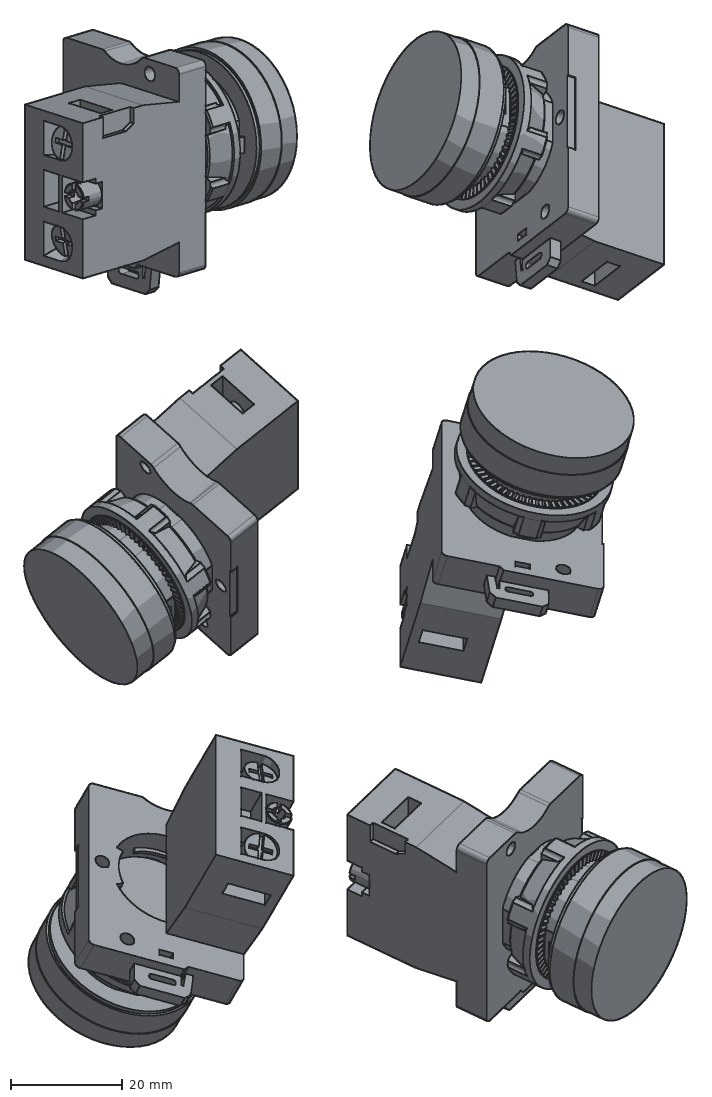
import cadquery as cq
import math


LENGTH = 53.5
WIDTH = 30.0
HALF_WIDTH = WIDTH / 2

HEAD_START_Y = 13.1
HEAD_RING_RADIUS = 14.55
HEAD_BODY_Y = 13.85
HEAD_CAP_Y = 19.0
HEAD_CAP_RADIUS = 14.85
HEAD_FRONT_Y = 22.9

NECK_RADIUS = 10.85
NECK_HALF_WIDTH = 10.05
NECK_HALF_HEIGHT = 10.65

CLIP_HEIGHT = 3.0
CLIP_ROOT_X = NECK_HALF_WIDTH - 0.55
CLIP_OUTLINE = [
    (CLIP_ROOT_X, 10.25), (10.3, 10.25), (10.75, 10.85), (12.0, 12.5),
    (11.8, 12.75), (11.1, 12.75), (10.45, 11.45), (CLIP_ROOT_X, 11.15),
]

NUT_START_Y = 3.15
NUT_FLANGE_Y = 7.6
NUT_FLANGE_TOP_Y = 9.1
NUT_RADIUS = 14.5
NUT_CONE_SMALL_RADIUS = 12.4
NUT_CONE_LARGE_RADIUS = 14.0
NUT_EDGE_CHAMFER = 0.3
RIB_COUNT = 6
RIB_HALF_WIDTH = 1.65
RIB_FILLET = 0.85
WASHER_RADIUS = 12.6
WASHER_TOP_Y = 9.6
TOOTH_COUNT = 60
TOOTH_HEIGHT = 0.3
TOOTH_WIDTH = 1.05
TOOTH_START_RADIUS = 10.7

PLATE_THICKNESS = 6.65
PLATE_LEFT_TOP_Z = 18.5
PLATE_RIGHT_TOP_Z = 19.5
PLATE_LEFT_BOTTOM_Z = -20.9
PLATE_RIGHT_BOTTOM_Z = -20.0
PLATE_STEP_LEFT_X = 3.55
PLATE_STEP_RIGHT_X = 4.3
PLATE_CORNER_RADIUS = 1.0
NOTCH_RADIUS = 7.5
NOTCH_BOTTOM_Z = 16.95
NOTCH_FILLET = 1.05
SCREW_HOLE_RADIUS = 1.35
SCREW_HOLES = [(7.45, 16.75), (-7.55, -17.3), (-12.35, 0)]
WINDOW_WIDTH = 2.75
WINDOW_HEIGHT = 1.3
WINDOW_Z = -18.35
SIDE_RECESS_HEIGHT = 15.05
SIDE_RECESS_LENGTH = 1.65
SIDE_RECESS_DEPTH = 0.25

BORE_RADIUS = 10.55
KEY_RADIUS = 9.2
KEY_HALF_ANGLE = 25.0
LIP_RADIUS = 9.7
LIP_HALF_WIDTH = 4.55
LIP_DEPTH = 4.0
LIP_THICKNESS = 0.6

TAB_FRONT_Y = -2.5
TAB_THICKNESS = 2.25
TAB_BOTTOM_Z = -26.0
TAB_LEFT_X = -5.45
TAB_RIGHT_X = 5.45
TAB_TOP_RIGHT_X = 6.0
TAB_CHAMFER = 1.1
FINGER_TOP_X = 4.5
FINGER_ROOT_X = 4.05
GAP_LEFT_X = 3.65
GAP_BOTTOM_Z = -23.05
TAB_SLOT_LENGTH = 5.2
TAB_SLOT_HEIGHT = 1.3
TAB_SLOT_Z = -22.95

BLOCK_REAR_Y = HEAD_FRONT_Y - LENGTH
BLOCK_TAPER_Y = -15.55
BLOCK_HALF_HEIGHT = 14.65
BLOCK_NECK_HALF_HEIGHT = 13.25
OPENING_LEFT_X = 4.85

TERMINAL_X = 9.1
TERMINAL_Z = 9.5
TERMINAL_TILT = 12.0
TERMINAL_RADIUS = 3.15
TERMINAL_DEPTH = 4.55
TERMINAL_HEAD_DEPTH = 1.05
TERMINAL_HEAD_LENGTH = 4.3
TERMINAL_SCREW_LENGTH = 10.7
SLOT_WIDTH = 0.85
SLOT_DEPTH = 0.85
CROSS_ARM_LENGTH = 4.5
SHANK_RADIUS = 1.75
WIRE_OPENING_RIGHT_X = 13.1
WIRE_OPENING_Y = -24.35
WIRE_OPENING_LENGTH = 2.85
WIRE_OPENING_INNER_Z = 5.35

MIDDLE_HALF_HEIGHT = 3.5
MIDDLE_WIDTH = 3.95
MIDDLE_DEPTH = 5.35
CORNER_LEFT_X = 9.7
CORNER_DEPTH = 3.2
CASTLE_X = 12.35
CASTLE_RADIUS = 2.5
CASTLE_BORE_RADIUS = 1.3
CASTLE_SLOT_WIDTH = 0.8
CASTLE_SLOT_DEPTH = 1.35
CASTLE_BORE_DEPTH = 2.7
CASTLE_CHAMFER = 0.15
CASTLE_TOP_DEPTH = 0.25
CASTLE_SEAT_DEPTH = 4.8

EDGE_NOTCH_DEPTH = 0.9
EDGE_NOTCH_REAR_Y = -25.55
EDGE_NOTCH_RAMP_Y = -19.9
EDGE_NOTCH_FRONT_Y = -17.9
EDGE_NOTCH_FLOOR_Z = 10.7
EDGE_NOTCH_RAMP_RISE = 1.05


def rear_plane(y):
    """Sketch plane at the given Y: local x is X, local y is Z, extrusion runs to -Y."""
    return cq.Workplane("XZ", origin=(0, y, 0))


def disc(radius, y_low, y_high):
    """Cylinder about the button axis."""
    return rear_plane(y_high).circle(radius).extrude(y_high - y_low)


def box(x_range, y_range, z_range):
    """Box between two limits on each axis."""
    sizes = [high - low for low, high in (x_range, y_range, z_range)]
    corner = (x_range[0], y_range[0], z_range[0])
    return cq.Workplane().box(*sizes, centered=False).translate(corner)


def make_head():
    ring = disc(HEAD_RING_RADIUS, HEAD_START_Y, HEAD_BODY_Y)
    body = disc(HALF_WIDTH, HEAD_BODY_Y, HEAD_CAP_Y)
    cap = disc(HEAD_CAP_RADIUS, HEAD_CAP_Y, HEAD_FRONT_Y)
    return ring.union(body).union(cap)


def make_neck():
    flats = box(
        (-NECK_HALF_WIDTH, NECK_HALF_WIDTH),
        (0, HEAD_START_Y),
        (-NECK_HALF_HEIGHT, NECK_HALF_HEIGHT),
    )
    return disc(NECK_RADIUS, 0, HEAD_START_Y).intersect(flats)


def make_clips():
    """Bent spring fingers leaning outwards towards the head."""
    right = cq.Workplane("XY").polyline(CLIP_OUTLINE).close().extrude(CLIP_HEIGHT / 2, both=True)
    return right.union(right.mirror("YZ"))


def make_nut():
    cone = cq.Workplane(cq.Solid.makeCone(
        NUT_CONE_SMALL_RADIUS,
        NUT_CONE_LARGE_RADIUS,
        NUT_FLANGE_Y - NUT_START_Y,
        pnt=cq.Vector(0, NUT_START_Y, 0),
        dir=cq.Vector(0, 1, 0),
    )).faces("<Y").chamfer(NUT_EDGE_CHAMFER, NUT_EDGE_CHAMFER / 2)

    foot = RIB_HALF_WIDTH + RIB_FILLET
    crest_z = math.sqrt(NUT_RADIUS**2 - RIB_HALF_WIDTH**2)
    foot_z = crest_z - RIB_FILLET
    arc_offset = RIB_FILLET * (1 - math.sqrt(0.5))
    rib = (
        rear_plane(NUT_FLANGE_Y)
        .moveTo(-foot, 0)
        .lineTo(-foot, foot_z)
        .threePointArc((-RIB_HALF_WIDTH - arc_offset, foot_z + arc_offset), (-RIB_HALF_WIDTH, crest_z))
        .lineTo(-RIB_HALF_WIDTH, NUT_RADIUS + 0.55)
        .lineTo(RIB_HALF_WIDTH, NUT_RADIUS + 0.55)
        .lineTo(RIB_HALF_WIDTH, crest_z)
        .threePointArc((RIB_HALF_WIDTH + arc_offset, foot_z + arc_offset), (foot, foot_z))
        .lineTo(foot, 0)
        .close()
        .extrude(NUT_FLANGE_Y - NUT_START_Y)
    )
    envelope = disc(NUT_RADIUS, NUT_START_Y, NUT_FLANGE_Y).faces("<Y").chamfer(NUT_EDGE_CHAMFER)
    rib = rib.intersect(envelope)

    nut = cone.union(disc(NUT_RADIUS, NUT_FLANGE_Y, NUT_FLANGE_TOP_Y))
    for index in range(RIB_COUNT):
        nut = nut.union(rib.rotate((0, 0, 0), (0, 1, 0), index * 360 / RIB_COUNT))
    return nut


def make_serrated_washer():
    """Washer with radial V-shaped teeth on the side facing the head."""
    base_y = WASHER_TOP_Y - TOOTH_HEIGHT
    washer = disc(WASHER_RADIUS, NUT_FLANGE_TOP_Y, base_y)
    tooth = (
        cq.Workplane("XY", origin=(0, 0, TOOTH_START_RADIUS))
        .polyline([(-TOOTH_WIDTH / 2, base_y), (0, WASHER_TOP_Y), (TOOTH_WIDTH / 2, base_y)])
        .close()
        .extrude(WASHER_RADIUS - TOOTH_START_RADIUS)
        .val()
    )
    axis_end = cq.Vector(0, 1, 0)
    step = 360 / TOOTH_COUNT
    teeth = [tooth.rotate(cq.Vector(), axis_end, index * step) for index in range(TOOTH_COUNT)]
    return washer.union(cq.Workplane(cq.Compound.makeCompound(teeth)))


def make_plate():
    notch_center_z = NOTCH_BOTTOM_Z + NOTCH_RADIUS
    left_notch_x = -math.sqrt(NOTCH_RADIUS**2 - (notch_center_z - PLATE_LEFT_TOP_Z) ** 2)
    right_notch_x = math.sqrt(NOTCH_RADIUS**2 - (notch_center_z - PLATE_RIGHT_TOP_Z) ** 2)
    plate = (
        rear_plane(0)
        .moveTo(-HALF_WIDTH, PLATE_LEFT_BOTTOM_Z)
        .lineTo(-HALF_WIDTH, PLATE_LEFT_TOP_Z)
        .lineTo(left_notch_x, PLATE_LEFT_TOP_Z)
        .threePointArc((0, NOTCH_BOTTOM_Z), (right_notch_x, PLATE_RIGHT_TOP_Z))
        .lineTo(HALF_WIDTH, PLATE_RIGHT_TOP_Z)
        .lineTo(HALF_WIDTH, PLATE_RIGHT_BOTTOM_Z)
        .lineTo(PLATE_STEP_RIGHT_X, PLATE_RIGHT_BOTTOM_Z)
        .lineTo(PLATE_STEP_LEFT_X, PLATE_LEFT_BOTTOM_Z)
        .close()
        .extrude(PLATE_THICKNESS)
    )
    outer_corners = plate.edges("|Y").edges("<X or >X")
    plate = outer_corners.fillet(PLATE_CORNER_RADIUS)
    for x, z in ((left_notch_x, PLATE_LEFT_TOP_Z), (right_notch_x, PLATE_RIGHT_TOP_Z)):
        notch_corner = cq.selectors.NearestToPointSelector((x, -PLATE_THICKNESS / 2, z))
        plate = plate.edges("|Y").edges(notch_corner).fillet(NOTCH_FILLET)

    holes = rear_plane(0).pushPoints(SCREW_HOLES).circle(SCREW_HOLE_RADIUS).extrude(PLATE_THICKNESS)
    window = rear_plane(0).center(0, WINDOW_Z).rect(WINDOW_WIDTH, WINDOW_HEIGHT).extrude(PLATE_THICKNESS)
    side_recess = box(
        (-HALF_WIDTH, -HALF_WIDTH + SIDE_RECESS_DEPTH),
        (-SIDE_RECESS_LENGTH, 0),
        (-SIDE_RECESS_HEIGHT / 2, SIDE_RECESS_HEIGHT / 2),
    )
    return plate.cut(holes).cut(window).cut(side_recess).cut(make_bore())


def make_bore():
    """Bore through the plate, closed by the neck: a key on each side, a lip at top and bottom."""
    bore = disc(BORE_RADIUS, -PLATE_THICKNESS, 0)

    reach_x = BORE_RADIUS + 0.55
    reach_z = reach_x * math.tan(math.radians(KEY_HALF_ANGLE))
    sectors = (
        rear_plane(0)
        .polyline([(0, 0), (reach_x, reach_z), (reach_x, -reach_z)])
        .close()
        .polyline([(0, 0), (-reach_x, reach_z), (-reach_x, -reach_z)])
        .close()
        .extrude(PLATE_THICKNESS)
    )
    keys = sectors.cut(disc(KEY_RADIUS, -PLATE_THICKNESS, 0))

    lip_rear_y = LIP_DEPTH - PLATE_THICKNESS
    lip_front_y = lip_rear_y + LIP_THICKNESS
    lips = box(
        (-LIP_HALF_WIDTH, LIP_HALF_WIDTH),
        (lip_rear_y, lip_front_y),
        (-BORE_RADIUS, BORE_RADIUS),
    ).cut(disc(LIP_RADIUS, lip_rear_y, lip_front_y))
    return bore.cut(keys).cut(lips)


def make_tab():
    """Slotted tab with a spring finger, split off by a narrow gap, along its right-hand edge."""
    outline = [
        (TAB_LEFT_X, PLATE_LEFT_BOTTOM_Z),
        (TAB_LEFT_X, TAB_BOTTOM_Z + TAB_CHAMFER),
        (TAB_LEFT_X + TAB_CHAMFER, TAB_BOTTOM_Z),
        (TAB_RIGHT_X - TAB_CHAMFER, TAB_BOTTOM_Z),
        (TAB_RIGHT_X, TAB_BOTTOM_Z + TAB_CHAMFER),
        (TAB_TOP_RIGHT_X, PLATE_RIGHT_BOTTOM_Z),
        (FINGER_TOP_X, PLATE_RIGHT_BOTTOM_Z),
        (FINGER_ROOT_X, GAP_BOTTOM_Z),
        (GAP_LEFT_X, GAP_BOTTOM_Z),
        (GAP_LEFT_X, PLATE_LEFT_BOTTOM_Z),
    ]
    tab = rear_plane(TAB_FRONT_Y).polyline(outline).close().extrude(TAB_THICKNESS)
    slot = (
        rear_plane(TAB_FRONT_Y)
        .center(0, TAB_SLOT_Z)
        .slot2D(TAB_SLOT_LENGTH, TAB_SLOT_HEIGHT)
        .extrude(TAB_THICKNESS)
    )
    return tab.cut(slot)


def make_block_body():
    outline = [
        (-PLATE_THICKNESS, BLOCK_NECK_HALF_HEIGHT),
        (BLOCK_TAPER_Y, BLOCK_HALF_HEIGHT),
        (BLOCK_REAR_Y, BLOCK_HALF_HEIGHT),
        (BLOCK_REAR_Y, -BLOCK_HALF_HEIGHT),
        (BLOCK_TAPER_Y, -BLOCK_HALF_HEIGHT),
        (-PLATE_THICKNESS, -BLOCK_NECK_HALF_HEIGHT),
    ]
    return cq.Workplane("YZ").polyline(outline).close().extrude(HALF_WIDTH)


def terminal_frame(depth, side):
    """Sketch plane at a depth along a terminal screw's axis; side is +1 above, -1 below."""
    tilt = math.radians(TERMINAL_TILT)
    inward = cq.Vector(0, math.cos(tilt), -side * math.sin(tilt))
    origin = cq.Vector(TERMINAL_X, BLOCK_REAR_Y, side * TERMINAL_Z) + inward * depth
    return cq.Workplane(cq.Plane(origin=origin, xDir=(1, 0, 0), normal=inward))


def make_terminal_pocket(side):
    """Tilted D-shaped pocket with a floor parallel to the rear face of the block."""
    overrun = 1.05
    length = TERMINAL_DEPTH + 2 * overrun
    start = terminal_frame(-overrun, side)
    left_width = TERMINAL_X - OPENING_LEFT_X
    square = start.center(-left_width / 2, 0).rect(left_width, 2 * TERMINAL_RADIUS).extrude(length)
    round_end = terminal_frame(-overrun, side).circle(TERMINAL_RADIUS).extrude(length)
    depth_limits = box(
        (0, HALF_WIDTH),
        (BLOCK_REAR_Y, BLOCK_REAR_Y + TERMINAL_DEPTH),
        (-BLOCK_HALF_HEIGHT, BLOCK_HALF_HEIGHT),
    )
    return square.union(round_end).intersect(depth_limits)


def make_wire_opening(side):
    z_range = sorted((side * WIRE_OPENING_INNER_Z, side * BLOCK_HALF_HEIGHT))
    y_range = (WIRE_OPENING_Y, WIRE_OPENING_Y + WIRE_OPENING_LENGTH)
    return box((OPENING_LEFT_X, WIRE_OPENING_RIGHT_X), y_range, z_range)


def make_terminal_screw(side):
    """Cross-slotted head with a shank that passes across the wire opening."""
    head = terminal_frame(TERMINAL_HEAD_DEPTH, side).circle(TERMINAL_RADIUS).extrude(TERMINAL_HEAD_LENGTH)
    shank = terminal_frame(TERMINAL_HEAD_DEPTH, side).circle(SHANK_RADIUS).extrude(TERMINAL_SCREW_LENGTH)
    slots = (
        terminal_frame(TERMINAL_HEAD_DEPTH, side)
        .rect(SLOT_WIDTH, 2 * TERMINAL_RADIUS)
        .extrude(SLOT_DEPTH)
        .union(
            terminal_frame(TERMINAL_HEAD_DEPTH, side)
            .rect(CROSS_ARM_LENGTH, SLOT_WIDTH)
            .extrude(SLOT_DEPTH)
        )
    )
    return head.union(shank).cut(slots)


def make_corner_pocket():
    """Pocket open to the right, with a deeper round-ended seat for the slotted screw."""
    floor_y = BLOCK_REAR_Y + CORNER_DEPTH
    seat_y = BLOCK_REAR_Y + CASTLE_SEAT_DEPTH
    z_range = (-MIDDLE_HALF_HEIGHT, MIDDLE_HALF_HEIGHT)
    pocket = box((CORNER_LEFT_X, HALF_WIDTH), (BLOCK_REAR_Y, floor_y), z_range)
    seat_round = disc(CASTLE_RADIUS, floor_y, seat_y).translate((CASTLE_X, 0, 0))
    seat_run = box((CASTLE_X, HALF_WIDTH), (floor_y, seat_y), (-CASTLE_RADIUS, CASTLE_RADIUS))
    return pocket.union(seat_round).union(seat_run)


def make_castle_screw():
    """Hollow screw head cut into four lugs."""
    top_y = BLOCK_REAR_Y + CASTLE_TOP_DEPTH
    slot_y = top_y + CASTLE_SLOT_DEPTH
    seat_y = BLOCK_REAR_Y + CASTLE_SEAT_DEPTH
    screw = disc(CASTLE_RADIUS, top_y, seat_y).faces("<Y").chamfer(CASTLE_CHAMFER)
    bore = disc(CASTLE_BORE_RADIUS, top_y, top_y + CASTLE_BORE_DEPTH)
    slots = (
        rear_plane(slot_y)
        .rect(2 * CASTLE_RADIUS, CASTLE_SLOT_WIDTH)
        .extrude(CASTLE_SLOT_DEPTH)
        .union(rear_plane(slot_y).rect(CASTLE_SLOT_WIDTH, 2 * CASTLE_RADIUS).extrude(CASTLE_SLOT_DEPTH))
    )
    return screw.cut(bore).cut(slots).translate((CASTLE_X, 0, 0))


def make_edge_notch():
    """Shallow notch in the upper right edge, with a ramp at its forward end."""
    ramp_top_z = EDGE_NOTCH_FLOOR_Z + EDGE_NOTCH_RAMP_RISE
    outline = [
        (EDGE_NOTCH_REAR_Y, BLOCK_HALF_HEIGHT),
        (EDGE_NOTCH_REAR_Y, EDGE_NOTCH_FLOOR_Z),
        (EDGE_NOTCH_RAMP_Y, EDGE_NOTCH_FLOOR_Z),
        (EDGE_NOTCH_FRONT_Y, ramp_top_z),
        (EDGE_NOTCH_FRONT_Y, BLOCK_HALF_HEIGHT),
    ]
    start_x = HALF_WIDTH - EDGE_NOTCH_DEPTH
    plane = cq.Workplane("YZ", origin=(start_x, 0, 0))
    return plane.polyline(outline).close().extrude(EDGE_NOTCH_DEPTH)


def make_block():
    block = make_block_body()
    middle = box(
        (OPENING_LEFT_X, OPENING_LEFT_X + MIDDLE_WIDTH),
        (BLOCK_REAR_Y, BLOCK_REAR_Y + MIDDLE_DEPTH),
        (-MIDDLE_HALF_HEIGHT, MIDDLE_HALF_HEIGHT),
    )
    block = block.cut(middle).cut(make_corner_pocket()).cut(make_edge_notch())
    for side in (1, -1):
        block = block.cut(make_terminal_pocket(side)).cut(make_wire_opening(side))
        block = block.union(make_terminal_screw(side))
    return block.union(make_castle_screw())


button = make_head().union(make_neck()).union(make_clips())
button = button.union(make_nut()).union(make_serrated_washer())
base = make_plate().union(make_tab()).union(make_block())
result = button.union(base)